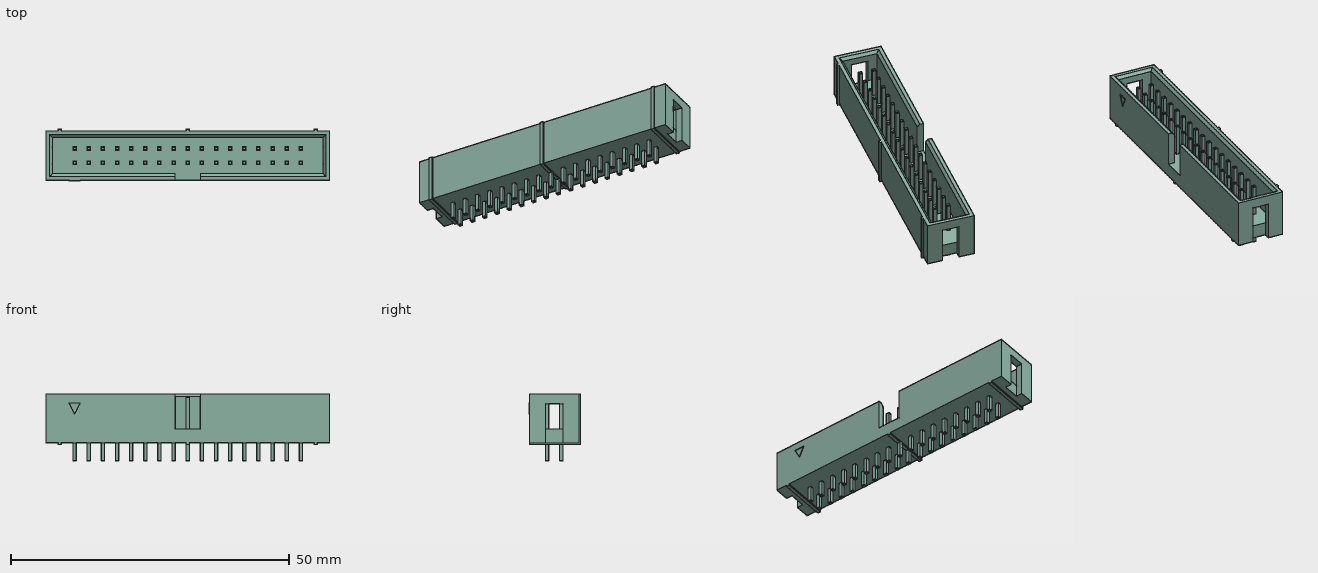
import cadquery as cq


housing_length = 50.98
housing_width = 8.9
housing_height = 8.8
floor_thickness = 2.5
end_wall = 1.2
side_wall = 1.2
mouth_chamfer = 0.5

notch_width = 4.5

end_slot_width = 3.1
end_slot_top_gap = 1.8

rib_height = 0.3
rib_width = 0.6
rib_spacing = 23.0

mark_width = 2.0
mark_height = 2.0
mark_top_gap = 1.65
mark_thickness = 0.1

pins_per_row = 17
pin_pitch = 2.54
pin_size = 0.64
pin_taper = 0.1
pin_tail = 3.3
pin_top_gap = 0.6

front_y = -housing_width / 2
back_y = housing_width / 2
cavity_length = housing_length - 2 * end_wall
cavity_width = housing_width - 2 * side_wall
cavity_depth = housing_height - floor_thickness
first_pin_x = -(pins_per_row - 1) / 2 * pin_pitch


def base_box(length, width, height, x, y, z):
    """Box centred on (x, y) with its underside at z."""
    box = cq.Workplane("XY").box(length, width, height, centered=(True, True, False))
    return box.translate((x, y, z))


def make_housing():
    """Open-topped box whose cavity has a chamfered mouth."""
    body = base_box(housing_length, housing_width, housing_height, 0, 0, 0)
    cavity = base_box(cavity_length, cavity_width, cavity_depth, 0, 0, floor_thickness)
    mouth = (
        cq.Workplane("XY")
        .workplane(offset=housing_height - mouth_chamfer)
        .rect(cavity_length, cavity_width)
        .workplane(offset=mouth_chamfer)
        .rect(cavity_length + 2 * mouth_chamfer, cavity_width + 2 * mouth_chamfer)
        .loft(ruled=True)
    )
    return body.cut(cavity).cut(mouth)


def make_notch():
    """Cutter that opens the front wall down to the cavity floor."""
    return base_box(notch_width, side_wall, cavity_depth, 0, front_y + side_wall / 2, floor_thickness)


def make_end_slot(side):
    """Cutter through one end wall, open at the underside; side is -1 or 1."""
    slot_height = housing_height - end_slot_top_gap
    slot_x = side * (housing_length - end_wall) / 2
    return base_box(end_wall, end_slot_width, slot_height, slot_x, 0, 0)


def make_rib(x):
    """L-shaped rib that runs under the housing and up its back wall."""
    under = base_box(rib_width, housing_width + rib_height, rib_height, x, rib_height / 2, -rib_height)
    behind = base_box(rib_width, rib_height, housing_height, x, back_y + rib_height / 2, 0)
    return under.union(behind)


def make_pin_one_mark():
    """Downward triangle above the first pin, standing proud of the front wall."""
    top_z = housing_height - mark_top_gap
    return (
        cq.Workplane("XZ", origin=(first_pin_x, front_y, 0))
        .moveTo(-mark_width / 2, top_z)
        .lineTo(mark_width / 2, top_z)
        .lineTo(0, top_z - mark_height)
        .close()
        .extrude(mark_thickness)
    )


def make_pin(x, y):
    """Square pin with both tips tapered."""
    pin_length = pin_tail + housing_height - pin_top_gap
    pin = base_box(pin_size, pin_size, pin_length, x, y, -pin_tail)
    return pin.faces("<Z or >Z").edges().chamfer(pin_taper)


result = make_housing().cut(make_notch())

for side in (-1, 1):
    result = result.cut(make_end_slot(side))

for rib_x in (-rib_spacing, 0, rib_spacing):
    result = result.union(make_rib(rib_x))

result = result.union(make_pin_one_mark())

for column in range(pins_per_row):
    for row_y in (-pin_pitch / 2, pin_pitch / 2):
        result = result.union(make_pin(first_pin_x + column * pin_pitch, row_y))